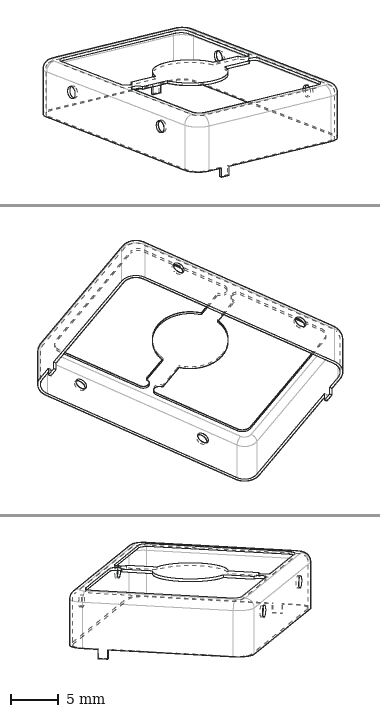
import cadquery as cq

length = 27.0
width = 20.0
total_height = 7.0
tab_height = 1.0
body_height = total_height - tab_height
sheet = 0.3
corner_radius = 1.8
top_edge_radius = 1.0

rim_width = 1.5
opening_length = length - 2 * rim_width
opening_width = width - 2 * rim_width
opening_corner_radius = 1.0

bridge_width = 2.0
disc_diameter = 8.0
notch_radius = 0.65

hole_diameter = 1.3
hole_offset = 7.5
hole_drop = 2.21

tab_width = 1.05
tab_offset = 6.0


def rounded_block(block_length, block_width, height, side_radius, top_radius):
    """Block standing on Z = 0 with rounded vertical and top edges."""
    block = cq.Workplane("XY").box(block_length, block_width, height, centered=(True, True, False))
    return block.edges("|Z").fillet(side_radius).faces(">Z").edges().fillet(top_radius)


def make_shell():
    """Open-bottomed cover of uniform sheet thickness."""
    outer = rounded_block(length, width, body_height, corner_radius, top_edge_radius)
    inner = rounded_block(
        length - 2 * sheet,
        width - 2 * sheet,
        body_height - sheet,
        corner_radius - sheet,
        top_edge_radius - sheet,
    )
    return outer.cut(inner)


def make_opening():
    """Rounded window cutter for the top sheet, leaving the bridge in place."""
    top_sheet = cq.Workplane("XY").workplane(offset=body_height - sheet)
    window = top_sheet.rect(opening_length, opening_width).extrude(sheet)
    window = window.edges("|Z").fillet(opening_corner_radius)
    bridge = top_sheet.rect(bridge_width, opening_width).extrude(sheet)
    disc = top_sheet.circle(disc_diameter / 2).extrude(sheet)
    notches = (
        top_sheet.rect(bridge_width, opening_width - 2 * notch_radius, forConstruction=True)
        .vertices()
        .circle(notch_radius)
        .extrude(sheet)
    )
    return window.cut(bridge.union(disc).cut(notches))


def make_wall_holes():
    """Two drills passing through both long walls."""
    return (
        cq.Workplane("XZ")
        .pushPoints([(side * hole_offset, body_height - hole_drop) for side in (-1, 1)])
        .circle(hole_diameter / 2)
        .extrude(width / 2, both=True)
    )


def make_tab(side):
    """Tab continuing a short wall downwards; the two tabs are diagonally opposite."""
    return (
        cq.Workplane("XY")
        .box(sheet, tab_width, tab_height + sheet, centered=(True, True, False))
        .translate((side * (length - sheet) / 2, -side * tab_offset, -tab_height))
    )


result = make_shell().cut(make_opening()).cut(make_wall_holes())
for tab_side in (-1, 1):
    result = result.union(make_tab(tab_side))